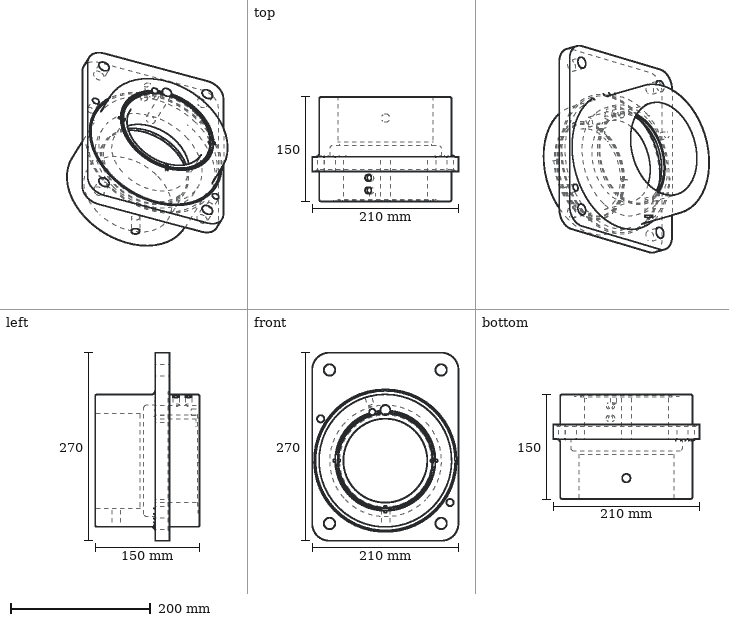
import cadquery as cq
import math


drum_length = 150.0
drum_radius = 95.0
rim_fillet = 3.0

flange_front = 43.0
flange_thickness = 21.0
flange_back = flange_front + flange_thickness
flange_width = 210.0
flange_height = 270.0
flange_center_z = 20.0
flange_corner_radius = 25.0
bolt_hole_diameter = 16.0
dowel_hole_diameter = 10.0
dowel_x = 92.7
dowel_z = 60.0

spot_face_radius = 102.3
spot_face_depth = 0.5
undercut_radius = 2.5
back_fillet = 5.0

bore_radius = 60.0
bore_fillet = 5.0
land_radius = bore_radius + bore_fillet
land_y = 0.6
bore_end_y = 64.0
seal_groove_inner_radius = 67.5
seal_groove_outer_radius = 68.5
seal_groove_depth = 2.0
mouth_radius = 72.0
mouth_chamfer = 1.0
mouth_slope_depth = 0.6
chamber_radius = 80.0
chamber_fillet = 5.0
lip_front_y = 81.0
lip_back_y = 86.0
lip_radius = 66.0
rear_bore_radius = 68.0

vent_radius = 7.0
vent_center_radius = 72.5

oil_angle = 105.0
oil_axial_diameter = 9.0
oil_axial_center_radius = 72.2
oil_axial_depth = 12.0
oil_radial_diameter = 9.5
oil_radial_depth = 12.0
oil_radial_positions = (16.0, 34.0)
drill_point_half_angle = 59.0

pin_diameter = 4.0
pin_depth = 3.0
pin_angles = (0.0, 180.0, 270.0)
pin_center_radii = (66.5, 73.0)
drain_diameter = 12.0
drain_y = 120.0

BACKWARD = cq.Vector(0, 1, 0)
UPWARD = cq.Vector(0, 0, 1)


def arc_inset(radius):
    """Distance from the sharp corner to the middle of a quarter round, along each axis."""
    return radius * (1 - math.sqrt(0.5))


def revolve_about_bore(profile):
    """Turn a closed (y, radius) profile around the Y axis."""
    return profile.close().revolve(360, (0, 0, 0), (1, 0, 0))


def point_at(radius, angle, y=0.0):
    """Point at a polar position, the angle counted from +X towards +Z."""
    turn = math.radians(angle)
    return cq.Vector(radius * math.cos(turn), y, radius * math.sin(turn))


def round_hole(diameter, depth, start, direction):
    return cq.Workplane(obj=cq.Solid.makeCylinder(diameter / 2, depth, start, direction))


def drilled_hole(diameter, depth, start, direction):
    """Blind hole whose floor is a drill point."""
    point_length = diameter / 2 / math.tan(math.radians(drill_point_half_angle))
    floor = start + direction * depth
    point = cq.Solid.makeCone(diameter / 2, 0, point_length, floor, direction)
    return round_hole(diameter, depth, start, direction).union(cq.Workplane(obj=point))


def make_drum():
    drum = cq.Workplane("XZ").circle(drum_radius).extrude(-drum_length)
    return drum.edges().fillet(rim_fillet)


def make_flange():
    plate = (
        cq.Workplane("XZ", origin=(0, flange_front, flange_center_z))
        .rect(flange_width, flange_height)
        .extrude(-flange_thickness)
        .edges("|Y")
        .fillet(flange_corner_radius)
    )
    bolt_x = flange_width / 2 - flange_corner_radius
    bolt_z = flange_height / 2 - flange_corner_radius
    for side in (-1, 1):
        for level in (-1, 1):
            start = cq.Vector(side * bolt_x, flange_front, flange_center_z + level * bolt_z)
            plate = plate.cut(round_hole(bolt_hole_diameter, flange_thickness, start, BACKWARD))
        start = cq.Vector(side * dowel_x, flange_front, -side * dowel_z)
        plate = plate.cut(round_hole(dowel_hole_diameter, flange_thickness, start, BACKWARD))
    return plate


def make_front_undercut():
    """Shallow spot face with a half-round relief groove against the drum."""
    floor = flange_front + spot_face_depth
    groove_outer = drum_radius + 2 * undercut_radius
    return revolve_about_bore(
        cq.Workplane("YZ")
        .moveTo(flange_front, drum_radius)
        .lineTo(floor, drum_radius)
        .threePointArc((floor + undercut_radius, drum_radius + undercut_radius), (floor, groove_outer))
        .lineTo(floor, spot_face_radius)
        .lineTo(flange_front, spot_face_radius)
    )


def make_back_fillet():
    diagonal = arc_inset(back_fillet)
    return revolve_about_bore(
        cq.Workplane("YZ")
        .moveTo(flange_back, drum_radius)
        .lineTo(flange_back + back_fillet, drum_radius)
        .threePointArc(
            (flange_back + diagonal, drum_radius + diagonal),
            (flange_back, drum_radius + back_fillet),
        )
    )


def make_bore():
    bore_inset = arc_inset(bore_fillet)
    slope_y = mouth_chamfer + mouth_slope_depth
    groove_floor = slope_y + seal_groove_depth
    chamber_inset = arc_inset(chamber_fillet)
    return revolve_about_bore(
        cq.Workplane("YZ")
        .moveTo(0, 0)
        .lineTo(0, mouth_radius)
        .lineTo(mouth_chamfer, mouth_radius - mouth_chamfer)
        .lineTo(slope_y, seal_groove_outer_radius)
        .lineTo(groove_floor, seal_groove_outer_radius)
        .lineTo(groove_floor, seal_groove_inner_radius)
        .lineTo(land_y, seal_groove_inner_radius)
        .lineTo(land_y, land_radius)
        .threePointArc(
            (land_y + bore_inset, bore_radius + bore_inset),
            (land_y + bore_fillet, bore_radius),
        )
        .lineTo(bore_end_y, bore_radius)
        .lineTo(bore_end_y, chamber_radius)
        .lineTo(lip_front_y - chamber_fillet, chamber_radius)
        .threePointArc(
            (lip_front_y - chamber_inset, chamber_radius - chamber_inset),
            (lip_front_y, chamber_radius - chamber_fillet),
        )
        .lineTo(lip_front_y, lip_radius)
        .lineTo(lip_back_y, lip_radius)
        .lineTo(lip_back_y, rear_bore_radius)
        .lineTo(drum_length, rear_bore_radius)
        .lineTo(drum_length, 0)
    )


def cut_vent(body):
    start = cq.Vector(0, 0, vent_center_radius)
    return body.cut(round_hole(2 * vent_radius, bore_end_y, start, BACKWARD))


def cut_oil_holes(body):
    angle = oil_angle
    start = point_at(oil_axial_center_radius, angle)
    body = body.cut(drilled_hole(oil_axial_diameter, oil_axial_depth, start, BACKWARD))
    inward = point_at(-1, angle)
    for y in oil_radial_positions:
        start = point_at(drum_radius, angle, y)
        body = body.cut(drilled_hole(oil_radial_diameter, oil_radial_depth, start, inward))
    return body


def cut_pin_holes(body):
    for angle in pin_angles:
        for radius in pin_center_radii:
            body = body.cut(round_hole(pin_diameter, pin_depth, point_at(radius, angle), BACKWARD))
    return body


def cut_drain(body):
    start = cq.Vector(0, drain_y, -drum_radius)
    wall = drum_radius - rear_bore_radius
    return body.cut(round_hole(drain_diameter, wall, start, UPWARD))


result = make_drum().union(make_flange())
result = result.cut(make_front_undercut()).union(make_back_fillet())
result = result.cut(make_bore())
result = cut_vent(result)
result = cut_oil_holes(result)
result = cut_pin_holes(result)
result = cut_drain(result)